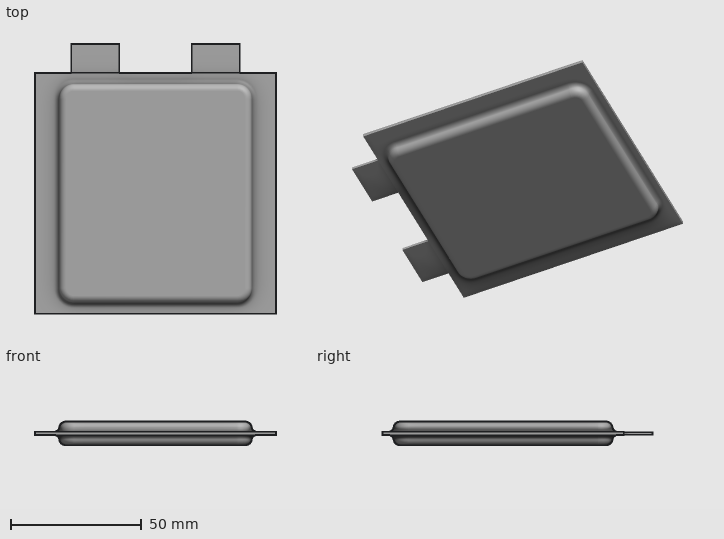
import cadquery as cq
import math

film_side = 92.2
overall_length = 103.2
overall_thickness = 9.2
film_thickness = 1.3

pouch_width = 77.2
pouch_length = 87.3
pouch_corner_radius = 7.3
shoulder_width = 4.4
crown_share = 0.6

tab_width = film_side / 5
tab_length = overall_length - film_side
tab_thickness = 1.0
tab_offset = film_side / 4

film_top = film_thickness / 2
pouch_top = overall_thickness / 2
shoulder_height = pouch_top - film_top
wall_angle = 2 * math.atan(shoulder_height / shoulder_width)
radius_sum = shoulder_width / math.sin(wall_angle)
crown_radius = crown_share * radius_sum
root_radius = radius_sum - crown_radius

flat_width = pouch_width - 2 * shoulder_width
flat_length = pouch_length - 2 * shoulder_width
flat_corner_radius = pouch_corner_radius - shoulder_width


def flat_prism():
    """Straight core of the pouch, as wide as its flat faces."""
    core = cq.Workplane("XY").box(flat_width, flat_length, overall_thickness)
    return core.edges("|Z").fillet(flat_corner_radius)


def shoulder_ring():
    """S-shaped shoulder swept around the core, the same above and below the film."""
    flat_edge = -flat_width / 2
    film_edge = -pouch_width / 2

    def crown_point(angle):
        return (flat_edge - crown_radius * math.sin(angle),
                pouch_top - crown_radius * (1 - math.cos(angle)))

    def root_point(angle):
        return (film_edge + root_radius * math.sin(angle),
                film_top + root_radius * (1 - math.cos(angle)))

    def below(point):
        return (point[0], -point[1])

    half_angle = wall_angle / 2
    crown_start = crown_point(0)
    crown_middle = crown_point(half_angle)
    joint = crown_point(wall_angle)
    root_middle = root_point(half_angle)
    root_end = root_point(0)

    section = (
        cq.Workplane("XZ")
        .moveTo(*crown_start)
        .threePointArc(crown_middle, joint)
        .threePointArc(root_middle, root_end)
        .lineTo(*below(root_end))
        .threePointArc(below(root_middle), below(joint))
        .threePointArc(below(crown_middle), below(crown_start))
        .close()
    )
    path = flat_prism().section().wires()
    return section.sweep(path, transition="round")


def make_pouch_cell():
    """Film, core and shoulder as one solid."""
    film = cq.Workplane("XY").box(film_side, film_side, film_thickness)
    return film.union(flat_prism()).union(shoulder_ring()).solids()


def make_tab(x_centre):
    """Flat terminal tab butted against the +Y edge of the film."""
    y_centre = (film_side + tab_length) / 2
    return (
        cq.Workplane("XY")
        .box(tab_width, tab_length, tab_thickness)
        .translate((x_centre, y_centre, 0))
    )


pouch_cell = make_pouch_cell()
tabs = [make_tab(side * tab_offset) for side in (-1, 1)]

result = cq.Compound.makeCompound([pouch_cell.val(), *[tab.val() for tab in tabs]])